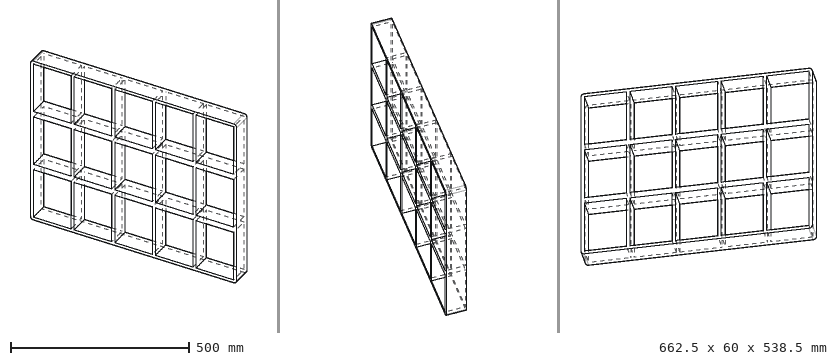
import cadquery as cq

depth = 60.0
border = 10.0
corner_radius = 10.0

columns = 5
rows = 3
window_width = 120.5
window_height = 160.5
mullion_width = 10.0
rail_height = 18.5

column_pitch = window_width + mullion_width
row_pitch = window_height + rail_height
width = columns * column_pitch - mullion_width + 2 * border
height = rows * row_pitch - rail_height + 2 * border


def make_block():
    """Solid block centred on the origin, with its four long edges rounded."""
    return cq.Workplane("XY").box(width, depth, height).edges("|Y").fillet(corner_radius)


def make_windows():
    """Grid of prisms that pass through the full depth of the block."""
    return (
        cq.Workplane("XZ")
        .rarray(column_pitch, row_pitch, columns, rows)
        .rect(window_width, window_height)
        .extrude(depth, both=True)
    )


result = make_block().cut(make_windows())